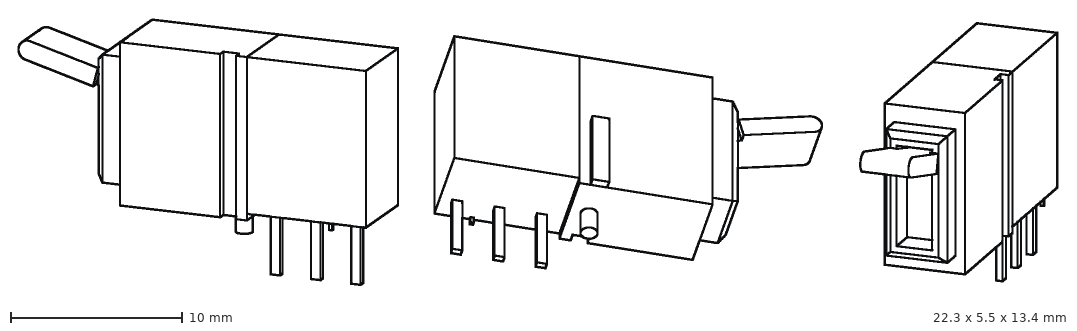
import cadquery as cq
import math


body_width = 5.0
body_height = 9.95
housing_length = 8.0
base_length = 7.5
base_lift = 0.4
mid_height = body_height / 2

key_x = 6.82
key_width = 1.0
key_depth = 0.5
rib_height = body_height / 2
peg_diameter = 1.0
peg_length = 1.5

bezel_length = 1.75
bezel_width = 3.8
bezel_height = 7.8
bezel_chamfer = 0.4
bezel_rim = 0.4
opening_width = bezel_width - 2 * (bezel_chamfer + bezel_rim)
opening_height = bezel_height - 2 * (bezel_chamfer + bezel_rim)

lever_tilt = 15.0
pivot_x = key_x
lever_thickness = 1.2
paddle_width = 3.0
stem_width = 2.0
shoulder_radius = 9.08
tip_reach = 6.81
tip_radius = lever_thickness / 2

terminal_count = 3
terminal_pitch = 2.54
first_terminal_x = 9.38
terminal_y = -1.27
terminal_width = 0.6
terminal_thickness = 0.4
terminal_length = 3.85
foot_x = 13.28
foot_size = 0.2
foot_y = -(body_width - foot_size) / 2


def block(x_min, length, width, height, y_mid=0.0, z_min=0.0):
    """Upright box placed by its front face, its middle plane and its underside."""
    return (
        cq.Workplane("XY")
        .box(length, width, height, centered=(False, True, False))
        .translate((x_min, y_mid, z_min))
    )


def make_housing():
    groove = block(
        key_x - key_width / 2, key_width, key_depth, body_height, y_mid=-(body_width - key_depth) / 2
    )
    return block(0, housing_length, body_width, body_height).cut(groove)


def make_base():
    return block(housing_length, base_length, body_width, body_height - base_lift, z_min=base_lift)


def make_key_rib():
    return block(
        key_x - key_width / 2, key_width, key_depth, rib_height, y_mid=(body_width + key_depth) / 2
    )


def make_locating_peg():
    return cq.Workplane("XY").center(key_x, 0).circle(peg_diameter / 2).extrude(-peg_length)


def make_bezel():
    frame = block(
        -bezel_length, bezel_length, bezel_width, bezel_height, z_min=mid_height - bezel_height / 2
    )
    frame = frame.faces("<X").chamfer(bezel_chamfer)
    opening = block(
        -bezel_length, bezel_length, opening_width, opening_height, z_min=mid_height - opening_height / 2
    )
    return frame.cut(opening)


def make_lever():
    tilt = math.radians(lever_tilt)
    tip_centre_radius = (pivot_x + tip_reach - tip_radius) / math.cos(tilt)
    half_thickness = lever_thickness / 2
    paddle = (
        cq.Workplane("XZ")
        .moveTo(-shoulder_radius, half_thickness)
        .lineTo(-tip_centre_radius, half_thickness)
        .threePointArc((-tip_centre_radius - tip_radius, 0), (-tip_centre_radius, -half_thickness))
        .lineTo(-shoulder_radius, -half_thickness)
        .close()
        .extrude(paddle_width / 2, both=True)
    )
    stem = block(-shoulder_radius, shoulder_radius, stem_width, lever_thickness, z_min=-half_thickness)
    lever = paddle.union(stem)
    lever = lever.rotate((0, 0, 0), (0, 1, 0), lever_tilt).translate((pivot_x, 0, mid_height))
    behind_face = block(0, housing_length, body_width, body_height)
    return lever.cut(behind_face)


def make_terminal(index):
    x_mid = first_terminal_x + index * terminal_pitch
    return block(
        x_mid - terminal_width / 2,
        terminal_width,
        terminal_thickness,
        terminal_length,
        y_mid=terminal_y,
        z_min=base_lift - terminal_length,
    )


def make_foot():
    return block(foot_x - foot_size / 2, foot_size, foot_size, base_lift, y_mid=foot_y)


housing = make_housing()
base = make_base()
key_rib = make_key_rib()
locating_peg = make_locating_peg()
bezel = make_bezel()
lever = make_lever()
terminals = [make_terminal(index) for index in range(terminal_count)]
foot = make_foot()

result = cq.Compound.makeCompound(
    [
        housing.val(),
        base.val(),
        key_rib.val(),
        locating_peg.val(),
        bezel.val(),
        lever.val(),
        *[terminal.val() for terminal in terminals],
        foot.val(),
    ]
)